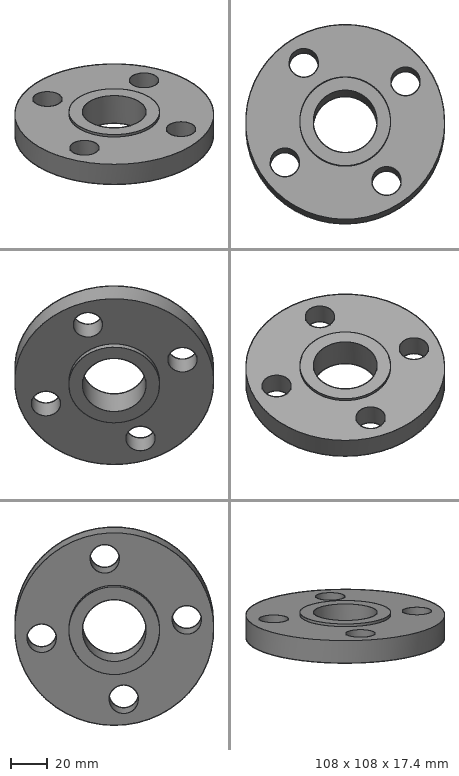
import cadquery as cq

flange_diameter = 108.0
flange_thickness = 12.7

ring_diameter = 49.2
lower_ring_height = 3.2
upper_ring_height = 1.5
bore_diameter = 34.5

bolt_hole_count = 4
bolt_hole_diameter = 15.9
bolt_circle_diameter = 79.3
first_bolt_angle = 180.0 / bolt_hole_count

total_height = lower_ring_height + flange_thickness + upper_ring_height

flange = (
    cq.Workplane("XY", origin=(0, 0, lower_ring_height))
    .circle(flange_diameter / 2)
    .extrude(flange_thickness)
)
rings = cq.Workplane("XY").circle(ring_diameter / 2).extrude(total_height)
bore = cq.Workplane("XY").circle(bore_diameter / 2).extrude(total_height)
bolt_holes = (
    cq.Workplane("XY")
    .polarArray(bolt_circle_diameter / 2, first_bolt_angle, 360, bolt_hole_count)
    .circle(bolt_hole_diameter / 2)
    .extrude(total_height)
)

result = flange.union(rings).cut(bore).cut(bolt_holes)